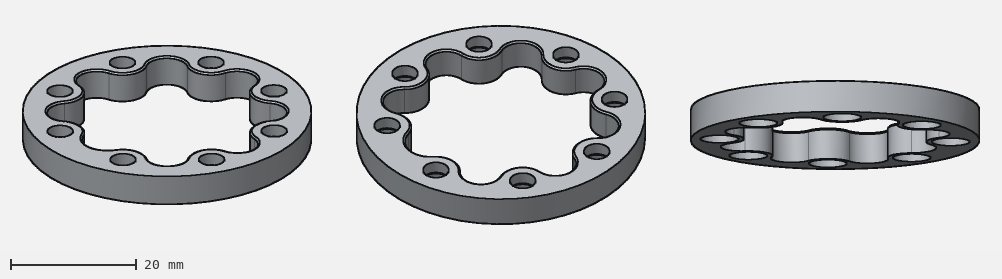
import cadquery as cq
import math

outer_diameter = 46.0
thickness = 5.0

hole_count = 8
hole_pitch_radius = 18.45
hole_diameter = 4.1
neck_depth = 2.02
bore_diameter = 6.05

bump_radius = 3.85
lobe_crest_radius = 19.1
shallow_crest_radius = 17.5
edge_chamfer = 0.3

hole_spacing = 360.0 / hole_count
half_spacing = hole_spacing / 2.0
shallow_lobe_angle = 270.0
bump_tip_radius = hole_pitch_radius - bump_radius


def polar(radius, angle):
    """Point at a distance from the ring centre, angle in degrees."""
    turn = math.radians(angle)
    return (radius * math.cos(turn), radius * math.sin(turn))


def lobe_center_radius(crest_radius):
    """Distance from the ring centre to the centre of a lobe arc tangent to both its bumps."""
    reach = bump_radius + crest_radius
    bump_offset = hole_pitch_radius * math.cos(math.radians(half_spacing))
    return (reach**2 - hole_pitch_radius**2) / (2.0 * (reach - bump_offset))


def tangent_point(lobe_center, bump_center):
    """Point where a lobe arc passes into a bump arc."""
    share = bump_radius / math.dist(lobe_center, bump_center)
    x = bump_center[0] + (lobe_center[0] - bump_center[0]) * share
    y = bump_center[1] + (lobe_center[1] - bump_center[1]) * share
    return (x, y)


def scalloped_outline():
    """Closed outline of the inner opening, counter-clockwise from the -Y lobe."""
    outline = None
    for index in range(hole_count):
        lobe_angle = shallow_lobe_angle + index * hole_spacing
        crest_radius = shallow_crest_radius if index == 0 else lobe_crest_radius
        lobe_center = polar(lobe_center_radius(crest_radius), lobe_angle)
        bump_before = polar(hole_pitch_radius, lobe_angle - half_spacing)
        bump_after = polar(hole_pitch_radius, lobe_angle + half_spacing)
        lobe_start = tangent_point(lobe_center, bump_before)
        lobe_end = tangent_point(lobe_center, bump_after)
        if outline is None:
            first_point = lobe_start
            outline = cq.Workplane("XY").moveTo(*first_point)
        else:
            bump_tip = polar(bump_tip_radius, lobe_angle - half_spacing)
            outline = outline.threePointArc(bump_tip, lobe_start)
        outline = outline.threePointArc(polar(crest_radius, lobe_angle), lobe_end)
    last_tip = polar(bump_tip_radius, shallow_lobe_angle - half_spacing)
    return outline.threePointArc(last_tip, first_point).close()


def ring():
    """Round plate with the scalloped opening, its upper inner edge chamfered."""
    plate = cq.Workplane("XY").circle(outer_diameter / 2.0).extrude(thickness)
    plate = plate.cut(scalloped_outline().extrude(thickness))
    reach = lobe_crest_radius + 2.0 * edge_chamfer
    near_opening = cq.selectors.BoxSelector(
        (-reach, -reach, thickness - edge_chamfer),
        (reach, reach, thickness + edge_chamfer),
        boundingbox=True,
    )
    return plate.edges(near_opening).chamfer(edge_chamfer)


def stepped_hole():
    """Cutter for one hole: narrow above, wide below, joined by a 45 degree cone."""
    hole_radius = hole_diameter / 2.0
    bore_radius = bore_diameter / 2.0
    neck_bottom = thickness - neck_depth
    cone_bottom = neck_bottom - (bore_radius - hole_radius)
    section = cq.Workplane("XZ").polyline(
        [
            (0, 0),
            (bore_radius, 0),
            (bore_radius, cone_bottom),
            (hole_radius, neck_bottom),
            (hole_radius, thickness),
            (0, thickness),
        ]
    )
    return section.close().revolve(360, (0, 0, 0), (0, 1, 0))


result = ring()
for index in range(hole_count):
    x, y = polar(hole_pitch_radius, half_spacing + index * hole_spacing)
    result = result.cut(stepped_hole().translate((x, y, 0)))